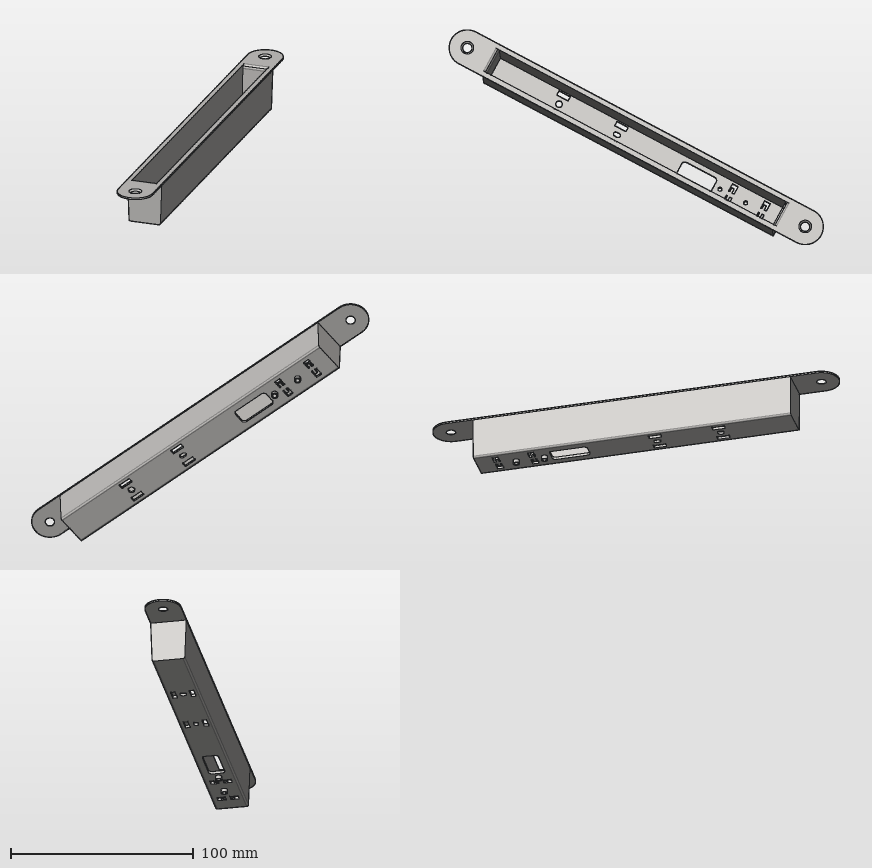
import cadquery as cq
import math

ALONG_Y = 90

PLATE_LENGTH = 230.0
PLATE_WIDTH = 20.0
PLATE_THICKNESS = 1.0
END_RADIUS = PLATE_WIDTH / 2

SCREW_HOLE_Y = PLATE_LENGTH / 2 - END_RADIUS
SCREW_HOLE_DIAMETER = 5.0
COUNTERSINK_DIAMETER = 7.0
COUNTERSINK_ANGLE = 90.0

OVERALL_HEIGHT = 26.5
PEG_HEIGHT = 2.0
TRAY_DEPTH = OVERALL_HEIGHT - PEG_HEIGHT
TRAY_LENGTH = 180.0
TRAY_TOP_WIDTH = 19.9
TRAY_DRAFT = 2.0
TRAY_EDGE_RADIUS = 1.0

END_WALL = 1.0
FLOOR_THICKNESS = 1.5
CAVITY_WIDTH = 14.4
CAVITY_LENGTH = TRAY_LENGTH - 2 * END_WALL
LIP_RADIUS = 2.0
END_WALL_DRAFT = 2.0

PEG_YS = (68.0, 52.0)
PEG_DIAMETER = 3.5
PEG_HOLE_DIAMETER = 2.2

CLIP_YS = (78.4, 58.4)
CLIP_WINDOW_WIDTH = 11.8
CLIP_WINDOW_HEIGHT = 3.5
CLIP_STEM_WIDTH = 2.6
CLIP_ARM_SPAN = 7.6
CLIP_ARM_HEIGHT = 1.5
CLIP_ARM_OFFSET = -0.3

WINDOW_Y = 37.6
WINDOW_WIDTH = 9.0
WINDOW_LENGTH = 21.4
WINDOW_RADIUS = 2.0

OVAL_HOLE_Y = -12.0
ROUND_HOLE_Y = -48.0
SIDE_SLOT_X = 5.2
SIDE_SLOT_WIDTH = 2.6
SIDE_SLOT_LENGTH = 7.0
ROUND_HOLE_DIAMETER = 3.6
OVAL_HOLE_LENGTH = 4.0
OVAL_HOLE_WIDTH = 2.4


def floor_plane(x, y):
    """Workplane on the underside of the tray floor, centred on (x, y)."""
    return cq.Workplane("XY", origin=(x, y, -TRAY_DEPTH))


def make_plate():
    plate = (
        cq.Workplane("XY")
        .slot2D(PLATE_LENGTH, PLATE_WIDTH, ALONG_Y)
        .extrude(-PLATE_THICKNESS)
    )
    return (
        plate.faces(">Z")
        .workplane(origin=(0, 0, 0))
        .pushPoints([(0, SCREW_HOLE_Y), (0, -SCREW_HOLE_Y)])
        .cskHole(SCREW_HOLE_DIAMETER, COUNTERSINK_DIAMETER, COUNTERSINK_ANGLE)
    )


def make_tray():
    """Solid block with drafted sides and rounded lower long edges."""
    top_x = TRAY_TOP_WIDTH / 2
    wall_height = TRAY_DEPTH - PLATE_THICKNESS
    bottom_x = top_x - wall_height * math.tan(math.radians(TRAY_DRAFT))
    return (
        cq.Workplane("XZ", origin=(0, TRAY_LENGTH / 2, 0))
        .moveTo(-top_x, -PLATE_THICKNESS)
        .lineTo(top_x, -PLATE_THICKNESS)
        .lineTo(bottom_x, -TRAY_DEPTH)
        .lineTo(-bottom_x, -TRAY_DEPTH)
        .close()
        .extrude(TRAY_LENGTH)
        .edges("<Z and |Y")
        .fillet(TRAY_EDGE_RADIUS)
    )


def make_cavity():
    """Pocket with drafted end walls that flares over the rounded end lips."""
    half = CAVITY_LENGTH / 2
    lip_end = half + LIP_RADIUS
    mid_angle = math.radians(45)
    arc_mid_y = lip_end - LIP_RADIUS * math.sin(mid_angle)
    arc_mid_z = LIP_RADIUS * (math.cos(mid_angle) - 1)
    floor_z = FLOOR_THICKNESS - TRAY_DEPTH
    wall_height = -LIP_RADIUS - floor_z
    floor_half = half - wall_height * math.tan(math.radians(END_WALL_DRAFT))
    return (
        cq.Workplane("YZ", origin=(-CAVITY_WIDTH / 2, 0, 0))
        .moveTo(-lip_end, 0)
        .lineTo(lip_end, 0)
        .threePointArc((arc_mid_y, arc_mid_z), (half, -LIP_RADIUS))
        .lineTo(floor_half, floor_z)
        .lineTo(-floor_half, floor_z)
        .lineTo(-half, -LIP_RADIUS)
        .threePointArc((-arc_mid_y, arc_mid_z), (-lip_end, 0))
        .close()
        .extrude(CAVITY_WIDTH)
    )


def make_peg(y):
    return floor_plane(0, y).circle(PEG_DIAMETER / 2).extrude(-PEG_HEIGHT)


def make_peg_hole(y):
    return (
        cq.Workplane("XY", origin=(0, y, -OVERALL_HEIGHT))
        .circle(PEG_HOLE_DIAMETER / 2)
        .extrude(PEG_HEIGHT + FLOOR_THICKNESS)
    )


def make_clip_window(y):
    window = floor_plane(0, y).rect(CLIP_WINDOW_WIDTH, CLIP_WINDOW_HEIGHT).extrude(FLOOR_THICKNESS)
    stem = floor_plane(0, y).rect(CLIP_STEM_WIDTH, CLIP_WINDOW_HEIGHT).extrude(FLOOR_THICKNESS)
    arms = (
        floor_plane(0, y + CLIP_ARM_OFFSET)
        .rect(CLIP_ARM_SPAN, CLIP_ARM_HEIGHT)
        .extrude(FLOOR_THICKNESS)
    )
    return window.cut(stem).cut(arms)


def make_window():
    return (
        floor_plane(0, WINDOW_Y)
        .rect(WINDOW_WIDTH, WINDOW_LENGTH)
        .extrude(FLOOR_THICKNESS)
        .edges("|Z")
        .fillet(WINDOW_RADIUS)
    )


def make_side_slots(y):
    return (
        floor_plane(0, y)
        .pushPoints([(-SIDE_SLOT_X, 0), (SIDE_SLOT_X, 0)])
        .rect(SIDE_SLOT_WIDTH, SIDE_SLOT_LENGTH)
        .extrude(FLOOR_THICKNESS)
    )


def make_oval_hole():
    return (
        floor_plane(0, OVAL_HOLE_Y)
        .slot2D(OVAL_HOLE_LENGTH, OVAL_HOLE_WIDTH, ALONG_Y)
        .extrude(FLOOR_THICKNESS)
    )


def make_round_hole():
    return floor_plane(0, ROUND_HOLE_Y).circle(ROUND_HOLE_DIAMETER / 2).extrude(FLOOR_THICKNESS)


part = make_plate().union(make_tray()).cut(make_cavity())

for peg_y in PEG_YS:
    part = part.union(make_peg(peg_y)).cut(make_peg_hole(peg_y))

for clip_y in CLIP_YS:
    part = part.cut(make_clip_window(clip_y))

for slot_y in (OVAL_HOLE_Y, ROUND_HOLE_Y):
    part = part.cut(make_side_slots(slot_y))

part = part.cut(make_oval_hole()).cut(make_round_hole())
result = part.cut(make_window())